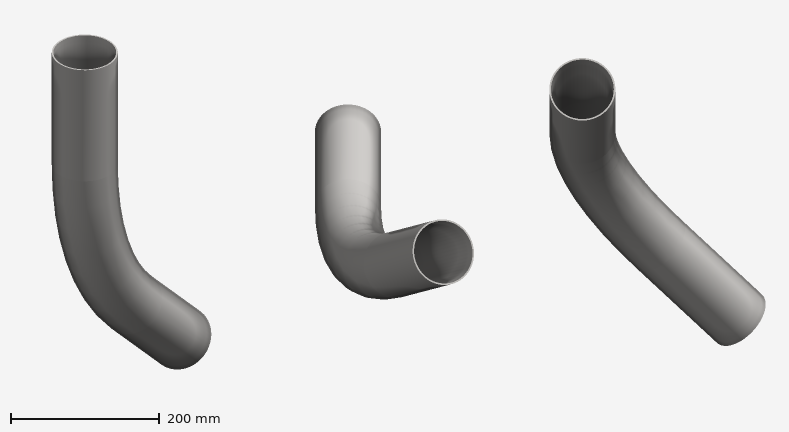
import cadquery as cq
import math

outer_diameter = 89.0
inner_diameter = 84.5
overall_height = 622.5
bend_angle = 45.0
bend_radius = 406.5

angle = math.radians(bend_angle)
lowest_rim_drop = outer_diameter / 2 * math.sin(angle)
bend_height = bend_radius * math.sin(angle)
leg_length = (overall_height - bend_height - lowest_rim_drop) / (1 + math.cos(angle))


def bend_point(turn):
    """Centreline point (Y, Z) after turning by the given angle from the upper leg."""
    return (bend_radius * (1 - math.cos(turn)), -bend_radius * math.sin(turn))


bend_end = bend_point(angle)
lower_end = (
    bend_end[0] + leg_length * math.sin(angle),
    bend_end[1] - leg_length * math.cos(angle),
)
centreline = (
    cq.Workplane("YZ")
    .moveTo(0, leg_length)
    .lineTo(0, 0)
    .threePointArc(bend_point(angle / 2), bend_end)
    .lineTo(*lower_end)
)

result = (
    cq.Workplane("XY", origin=(0, 0, leg_length))
    .circle(outer_diameter / 2)
    .circle(inner_diameter / 2)
    .sweep(centreline)
)